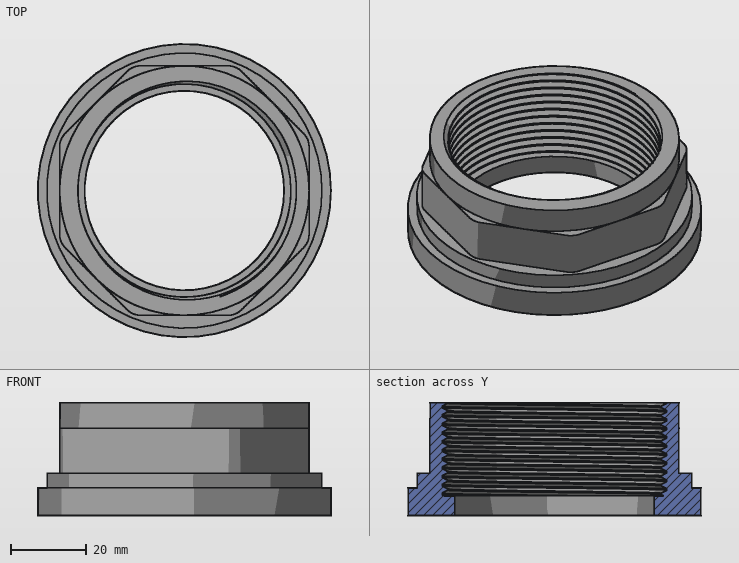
import cadquery as cq
import math

flange_top = 7.3
collar_top = 11.3
octagon_top = 23.25
total_height = 30.0

flange_diameter = 78.0
collar_diameter = 73.2
rim_diameter = 66.3
octagon_across_flats = rim_diameter
octagon_sides = 8
octagon_corner_radius = 5.0

outlet_diameter = 53.0
minor_diameter = 56.6
major_diameter = 59.6
seat_height = 5.2
threads_per_length = 11
threaded_length = 25.4
thread_pitch = threaded_length / threads_per_length
thread_turns = 13
flat_width = thread_pitch / 6
thread_overlap = 0.15


def cylinder(diameter, bottom, top):
    return cq.Workplane("XY").workplane(offset=bottom).circle(diameter / 2).extrude(top - bottom)


def octagon():
    across_corners = octagon_across_flats / math.cos(math.pi / octagon_sides)
    return (
        cq.Workplane("XY")
        .workplane(offset=collar_top)
        .transformed(rotate=(0, 0, 180 / octagon_sides))
        .polygon(octagon_sides, across_corners)
        .extrude(octagon_top - collar_top)
        .edges("|Z")
        .fillet(octagon_corner_radius)
    )


def thread_groove():
    """Right-hand truncated V groove cut off flat at the seat and at the top face."""
    minor_radius = minor_diameter / 2
    major_radius = major_diameter / 2
    half_mouth = (thread_pitch - flat_width) / 2
    half_root = flat_width / 2
    flank_slope = (half_mouth - half_root) / (major_radius - minor_radius)
    inner_radius = minor_radius - thread_overlap
    half_inner = half_mouth + thread_overlap * flank_slope
    helix = cq.Wire.makeHelix(thread_pitch, thread_turns * thread_pitch, minor_radius)
    groove = (
        cq.Workplane("XZ")
        .polyline(
            [
                (inner_radius, -half_inner),
                (major_radius, -half_root),
                (major_radius, half_root),
                (inner_radius, half_inner),
            ]
        )
        .close()
        .sweep(cq.Workplane(obj=helix), isFrenet=True)
    )
    start_height = total_height - (thread_turns - 1) * thread_pitch
    threaded_zone = cylinder(rim_diameter, seat_height, total_height)
    return groove.translate((0, 0, start_height)).intersect(threaded_zone)


body = (
    cylinder(flange_diameter, 0, flange_top)
    .union(cylinder(collar_diameter, flange_top, collar_top))
    .union(octagon())
    .union(cylinder(rim_diameter, octagon_top, total_height))
)
result = (
    body.cut(cylinder(outlet_diameter, 0, seat_height))
    .cut(cylinder(minor_diameter, seat_height, total_height))
    .cut(thread_groove())
)